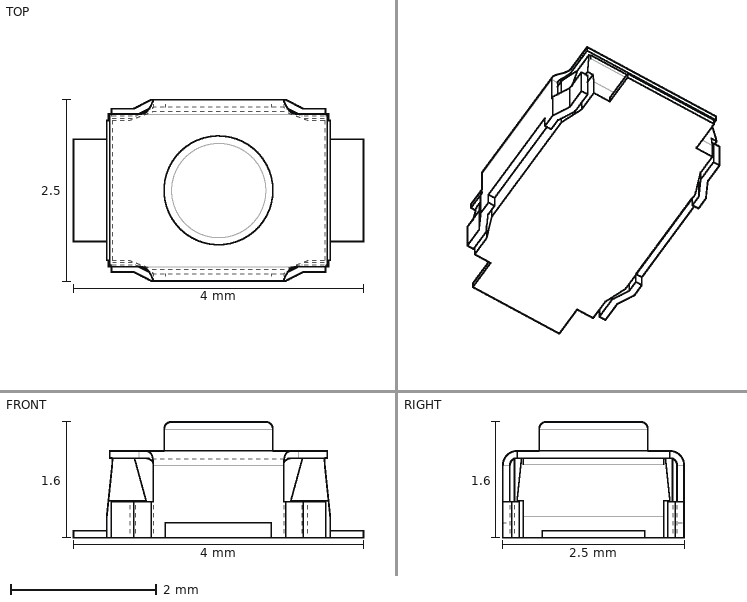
import cadquery as cq
import math


overall_length = 4.0
overall_width = 2.5
overall_height = 1.6
sheet = 0.1

cover_top = 1.2
cover_underside = cover_top - sheet
cover_length = 3.0
bend_outer_radius = 0.2
bend_inner_radius = bend_outer_radius - sheet
wall_outer_y = overall_width / 2
bend_start_y = wall_outer_y - bend_outer_radius
bend_axis_z = cover_top - bend_outer_radius
wall_half_length = 0.9
relief_radius = bend_outer_radius
corner_edge_steps = 8
trim_margin = sheet / 2

foot_height = 0.5
foot_end_x = 1.475
foot_outer_y = 1.125
splay_start_x = 0.925
splay_end_x = 1.17
wall_notch_length = 1.46
wall_notch_height = 0.21

base_length = 3.08
base_width = 2.15
base_straight_height = 0.3
base_draft_angle = 6.0
rib_half_width = 1.09
rib_half_length = 0.9
rib_flank_angle = 21.0
clearance_height = 0.515
clearance_half_width = 0.965
end_pad_length = 2.93
end_pad_bottom = 0.92

lead_width = 1.41
lead_thickness = 0.1

button_diameter = 1.5
button_edge_radius = 0.1


def block(size_x, size_y, z_low, z_high):
    """Box centred on the Z axis between two heights."""
    return (
        cq.Workplane("XY")
        .workplane(offset=z_low)
        .rect(size_x, size_y)
        .extrude(z_high - z_low)
    )


def make_rib():
    """Middle part of the base, with flanks that slope in plan down to the pocket walls."""
    flank_run = (rib_half_width - clearance_half_width) / math.tan(math.radians(rib_flank_angle))
    flank_end_x = rib_half_length + flank_run
    quarter = [(rib_half_length, rib_half_width), (flank_end_x, clearance_half_width)]
    outline = (
        quarter
        + [(x, -y) for x, y in reversed(quarter)]
        + [(-x, -y) for x, y in quarter]
        + [(-x, y) for x, y in reversed(quarter)]
    )
    return cq.Workplane("XY").polyline(outline).close().extrude(cover_underside)


def make_base():
    straight = block(base_length, base_width, 0, base_straight_height)
    drafted = (
        cq.Workplane("XY")
        .workplane(offset=base_straight_height)
        .rect(base_length, base_width)
        .extrude(cover_underside - base_straight_height, taper=base_draft_angle)
    )
    outside_clearance = block(base_length, base_width, 0, clearance_height).cut(
        block(base_length, 2 * clearance_half_width, 0, clearance_height)
    )
    end_pads = block(end_pad_length, 2 * clearance_half_width, end_pad_bottom, cover_underside)
    return straight.union(drafted).cut(outside_clearance).union(make_rib()).union(end_pads)


def corner_edge(radius, side):
    """Trim line of the concave corner at one distance from the +Y bend axis.

    The corner is a circular arc in plan on the bend's outer face, and radial lines
    from the bend axis carry it to every other radius. The bend angle runs from 0 at
    the plate to a quarter turn at the wall, with points crowded towards the plate.
    """
    points = []
    for step in range(corner_edge_steps + 1):
        bend_angle = math.pi / 2 * (step / corner_edge_steps) ** 2
        reach = 1 - math.sin(bend_angle)
        x = wall_half_length + relief_radius * (1 - math.sqrt(1 - reach**2))
        y = bend_start_y + radius * math.sin(bend_angle)
        z = bend_axis_z + radius * math.cos(bend_angle)
        points.append(cq.Vector(side * x, y, z))
    return cq.Edge.makeSpline(points)


def make_corner_trim():
    """Quarter-turn solid between the two concave corners, thicker than the sheet."""
    inner_radius = bend_inner_radius - trim_margin
    outer_radius = bend_outer_radius + trim_margin
    edges = [
        corner_edge(outer_radius, -1),
        corner_edge(outer_radius, 1),
        corner_edge(inner_radius, 1),
        corner_edge(inner_radius, -1),
    ]
    faces = []
    for index, edge in enumerate(edges):
        faces.append(cq.Face.makeRuledSurface(edges[index - 1], edge))
    plate_end = cq.Wire.makePolygon([edge.startPoint() for edge in edges], close=True)
    wall_end = cq.Wire.makePolygon([edge.endPoint() for edge in edges], close=True)
    faces.append(cq.Face.makeFromWires(plate_end))
    faces.append(cq.Face.makeFromWires(wall_end))
    trim = cq.Solid.makeSolid(cq.Shell.makeShell(faces)).fix()
    return cq.Workplane("XY").newObject([trim])


def make_bend():
    """Quarter-turn sheet bend on the +Y side with its ends trimmed by the corners."""
    sleeve = (
        cq.Workplane("YZ")
        .workplane(offset=-cover_length / 2)
        .center(bend_start_y, bend_axis_z)
        .circle(bend_outer_radius)
        .circle(bend_inner_radius)
        .extrude(cover_length)
    )
    return sleeve.intersect(make_corner_trim())


def make_side_wall():
    """Bend and vertical wall on the +Y side, down to the top of the feet."""
    wall = block(2 * wall_half_length, sheet, foot_height, bend_axis_z)
    return make_bend().union(wall.translate((0, wall_outer_y - sheet / 2, 0)))


def make_feet():
    """Strip along the bottom of the +Y wall whose two ends step inward, notched at the middle."""
    splay_angle = math.atan2(wall_outer_y - foot_outer_y, splay_end_x - splay_start_x)
    inner_shift = sheet * math.tan(splay_angle / 2)
    right_end = [
        (splay_start_x, wall_outer_y),
        (splay_end_x, foot_outer_y),
        (foot_end_x, foot_outer_y),
        (foot_end_x, foot_outer_y - sheet),
        (splay_end_x - inner_shift, foot_outer_y - sheet),
        (splay_start_x - inner_shift, wall_outer_y - sheet),
    ]
    outline = right_end + [(-x, y) for x, y in reversed(right_end)]
    return cq.Workplane("XY").polyline(outline).close().extrude(foot_height)


def make_cover():
    cover = block(cover_length, 2 * bend_start_y, cover_underside, cover_top)
    notch = block(wall_notch_length, overall_width, 0, wall_notch_height)
    side = make_side_wall().union(make_feet()).cut(notch)
    return cover.union(side).union(side.mirror("XZ"))


def make_button():
    return (
        cq.Workplane("XY")
        .workplane(offset=cover_underside)
        .circle(button_diameter / 2)
        .extrude(overall_height - cover_underside)
        .faces(">Z")
        .edges()
        .fillet(button_edge_radius)
    )


leads = block(overall_length, lead_width, 0, lead_thickness)
result = make_base().union(leads).union(make_cover()).union(make_button())